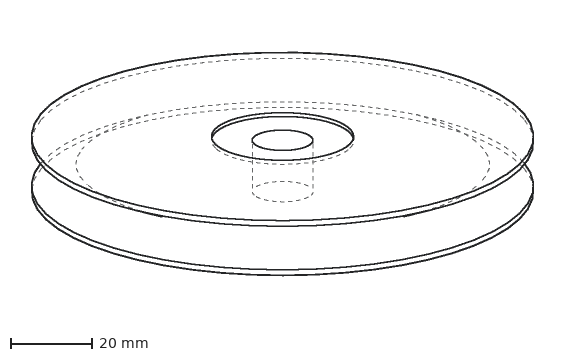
import cadquery as cq
import math

outer_diameter = 123.8
thickness = 14.4
bore_diameter = 15.0

recess_diameter = 35.0
recess_depth = 1.0

rim_land = 1.5
groove_root_diameter = 102.0
groove_root_radius = 1.4

outer_radius = outer_diameter / 2
half_thickness = thickness / 2
groove_half_width = half_thickness - rim_land


def make_groove():
    """Ring to cut from the rim: straight flanks tangent to a round root."""
    root_center = groove_root_diameter / 2 + groove_root_radius
    reach = outer_radius - root_center
    flank_angle = math.atan2(groove_half_width, reach) - math.asin(
        groove_root_radius / math.hypot(reach, groove_half_width)
    )
    tangent_x = root_center - groove_root_radius * math.sin(flank_angle)
    tangent_z = groove_root_radius * math.cos(flank_angle)
    return (
        cq.Workplane("XZ")
        .moveTo(outer_radius, groove_half_width)
        .lineTo(tangent_x, tangent_z)
        .threePointArc((groove_root_diameter / 2, 0), (tangent_x, -tangent_z))
        .lineTo(outer_radius, -groove_half_width)
        .close()
        .revolve(360, (0, 0, 0), (0, 1, 0))
    )


disc = cq.Workplane("XY").circle(outer_radius).extrude(half_thickness, both=True)
bore = cq.Workplane("XY").circle(bore_diameter / 2).extrude(half_thickness, both=True)
recess = (
    cq.Workplane("XY")
    .workplane(offset=half_thickness - recess_depth)
    .circle(recess_diameter / 2)
    .extrude(recess_depth)
)

result = disc.cut(make_groove()).cut(bore).cut(recess)